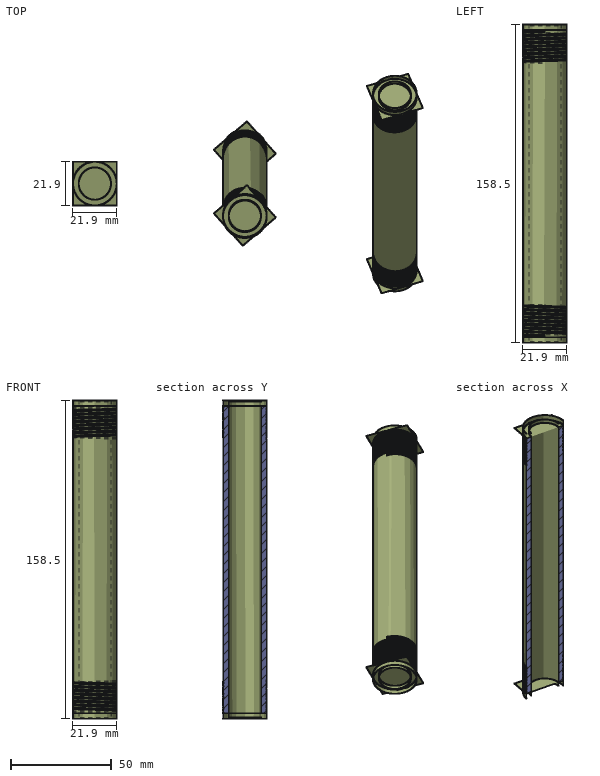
import cadquery as cq

LENGTH = 158.5
OUTER_DIAMETER = 21.93
BORE_DIAMETER = 15.9

PLATE_SIDE = 21.9
PLATE_THICKNESS = 0.1
PLATE_DEPTH = 2.75

LIP_THICKNESS = 0.15
INNER_LIP_DROP = 0.75

THREAD_PITCH = 1.814
THREAD_TURNS = 8.5
THREAD_START = 3.5
GROOVE_DEPTH = 0.25
GROOVE_WIDTH = 1.2
GROOVE_OVERSHOOT = 0.1

OUTER_RADIUS = OUTER_DIAMETER / 2
BORE_RADIUS = BORE_DIAMETER / 2
TOP = LENGTH / 2
PLATE_TOP = TOP - PLATE_DEPTH


def ring(outer_radius, inner_radius, bottom, top):
    """Upright hollow cylinder between two heights."""
    base = cq.Workplane("XY").workplane(offset=bottom)
    return base.circle(outer_radius).circle(inner_radius).extrude(top - bottom)


def mirrored_pair(shape):
    """Return a top-end shape and its mirror image at the bottom end."""
    return shape, shape.mirror("XY")


def mouth_cutter():
    """Open ring between the two lips, and the clearance above the inner lip."""
    inner_lip_radius = BORE_RADIUS + LIP_THICKNESS
    outer_lip_radius = OUTER_RADIUS - LIP_THICKNESS
    channel = ring(outer_lip_radius, inner_lip_radius, PLATE_TOP, TOP)
    clearance = ring(outer_lip_radius, BORE_RADIUS, TOP - INNER_LIP_DROP, TOP)
    return channel.union(clearance)


def thread_cutter():
    """Right-hand V groove wound down the top end of the pipe."""
    height = THREAD_PITCH * THREAD_TURNS
    bottom = TOP - THREAD_START - height
    mouth_radius = OUTER_RADIUS + GROOVE_OVERSHOOT
    root_radius = OUTER_RADIUS - GROOVE_DEPTH
    helix = cq.Wire.makeHelix(THREAD_PITCH, height, OUTER_RADIUS).translate(cq.Vector(0, 0, bottom))
    profile = cq.Workplane("XZ").polyline([
        (mouth_radius, bottom - GROOVE_WIDTH / 2),
        (root_radius, bottom),
        (mouth_radius, bottom + GROOVE_WIDTH / 2),
    ]).close()
    return profile.sweep(cq.Workplane(obj=helix), isFrenet=True)


def end_plate():
    """Thin square plate that closes the bore and shows its corners outside the pipe."""
    centre_height = PLATE_TOP - PLATE_THICKNESS / 2
    return cq.Workplane("XY").box(PLATE_SIDE, PLATE_SIDE, PLATE_THICKNESS).translate((0, 0, centre_height))


result = ring(OUTER_RADIUS, BORE_RADIUS, -TOP, TOP)
for cutter in mirrored_pair(mouth_cutter()) + mirrored_pair(thread_cutter()):
    result = result.cut(cutter)
for plate in mirrored_pair(end_plate()):
    result = result.union(plate)